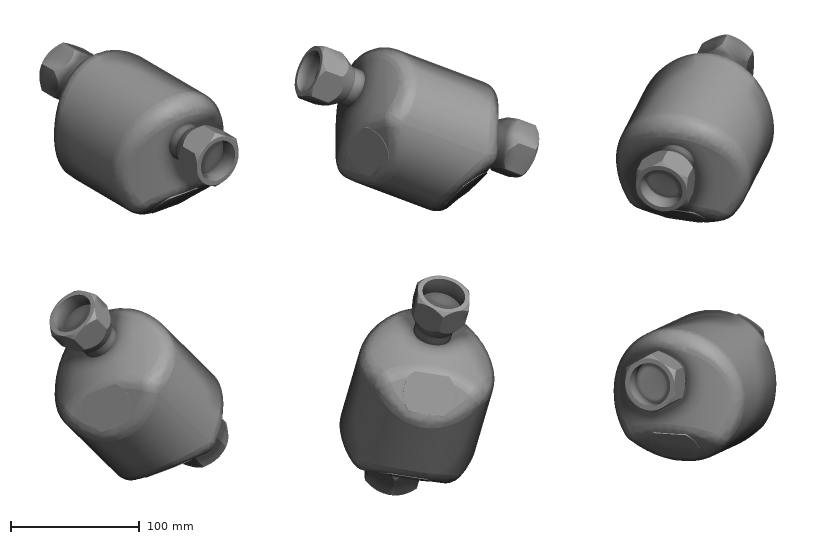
import cadquery as cq
import math

overall_length = 198.0
shell_diameter = 108.0
shell_radius = shell_diameter / 2
shell_half_length = 58.0
crown_radius = 94.0
edge_fillet = 13.9

slope_angle = 45.0
slope_offset = 58.6
pad_diameter = 41.0
pad_length = 31.3
pad_depth = 6.0
pad_height = 0.4
pad_shift = 4.8

fitting_height = 19.0
neck_diameter = 30.0
neck_end = 66.0
cone_angle = 30.0
nut_across_flats = 41.0
nut_across_corners = nut_across_flats / math.cos(math.radians(30))
bore_diameter = 33.9
bore_depth = 14.8


def place_on_slope(solid):
    """Turn a solid facing +X so that it faces down and outward along the slope normal."""
    return solid.rotate((0, 0, 0), (0, 1, 0), slope_angle)


def make_half_shell():
    """Round shell with a crowned end, cut by the slope and rounded along its outer edges."""
    crown_center = shell_half_length - crown_radius
    crown = (
        cq.Workplane("XY")
        .center(crown_center, 0)
        .circle(crown_radius)
        .extrude(shell_diameter, both=True)
    )
    cutter_size = 2 * shell_diameter
    slope_cutter = (
        cq.Workplane("XY")
        .box(cutter_size, cutter_size, cutter_size)
        .translate((slope_offset + cutter_size / 2, 0, 0))
    )
    shell = cq.Workplane("YZ").circle(shell_radius).extrude(shell_half_length)
    shell = shell.intersect(crown).cut(place_on_slope(slope_cutter))
    return shell.edges("not <X").fillet(edge_fillet)


def make_pad():
    """Thin round pad standing slightly proud of the sloping face."""
    disc = cq.Workplane("YZ").circle(pad_diameter / 2).extrude(-pad_depth)
    trim = cq.Workplane("XY").box(2 * pad_depth, pad_diameter, pad_length)
    pad = disc.intersect(trim).translate((slope_offset + pad_height, 0, pad_shift))
    return place_on_slope(pad)


def make_fitting():
    """Neck, cone and chamfered hexagon nut with a blind bore."""
    nut_end = overall_length / 2
    neck_radius = neck_diameter / 2
    corner_radius = nut_across_corners / 2
    chamfer = corner_radius - nut_across_flats / 2
    cone_length = (corner_radius - neck_radius) / math.tan(math.radians(cone_angle))
    turned_profile = [
        (0, 0),
        (0, neck_radius),
        (neck_end, neck_radius),
        (neck_end + cone_length, corner_radius),
        (nut_end - chamfer, corner_radius),
        (nut_end, corner_radius - chamfer),
        (nut_end, 0),
    ]
    turned = cq.Workplane("XZ").polyline(turned_profile).close().revolve(360, (0, 0, 0), (1, 0, 0))
    hexagon = cq.Workplane("YZ").polygon(6, nut_across_corners).extrude(nut_end)
    hexagon = hexagon.rotate((0, 0, 0), (1, 0, 0), 90)
    bore = cq.Workplane("YZ", origin=(nut_end, 0, 0)).circle(bore_diameter / 2).extrude(-bore_depth)
    return turned.intersect(hexagon).cut(bore).translate((0, 0, fitting_height))


half = make_half_shell().union(make_pad()).union(make_fitting())
result = half.union(half.mirror("YZ"))